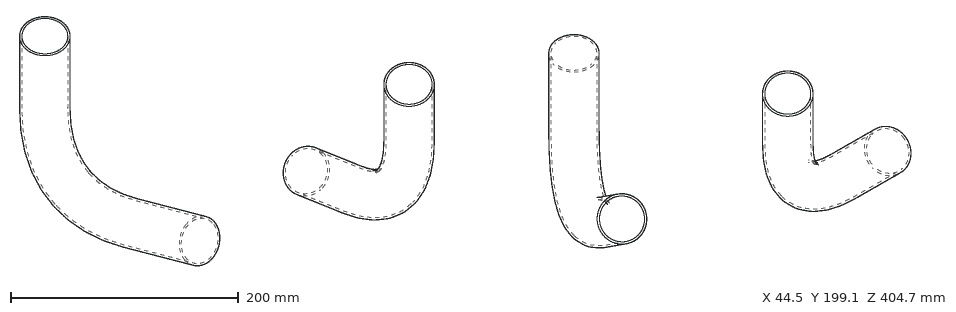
import cadquery as cq
import math

outer_diameter = 44.45
inner_diameter = 40.23
bend_radius = 304.8
bend_angle = math.radians(45)
straight_length = 101.6


def bend_point(angle):
    """Point (y, z) on the centreline arc, a given angle below the upper tangent point."""
    y = bend_radius * (1 - math.cos(angle))
    z = -bend_radius * math.sin(angle)
    return y, z


def make_centreline():
    """Vertical straight, bend towards +Y, then a straight sloping down; bend starts at the origin."""
    bend_end_y, bend_end_z = bend_point(bend_angle)
    tail_y = bend_end_y + straight_length * math.sin(bend_angle)
    tail_z = bend_end_z - straight_length * math.cos(bend_angle)
    return (
        cq.Workplane("YZ")
        .moveTo(0, straight_length)
        .lineTo(0, 0)
        .threePointArc(bend_point(bend_angle / 2), (bend_end_y, bend_end_z))
        .lineTo(tail_y, tail_z)
    )


def make_tube():
    """Sweep the ring-shaped tube section from the top end along the centreline."""
    section = (
        cq.Workplane("XY")
        .workplane(offset=straight_length)
        .circle(outer_diameter / 2)
        .circle(inner_diameter / 2)
    )
    return section.sweep(make_centreline())


result = make_tube()